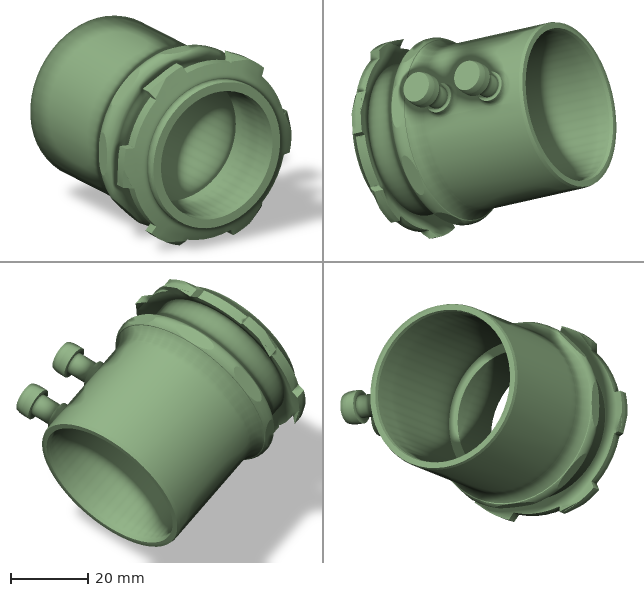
import cadquery as cq
import math


housing_length = 54.8
sleeve_radius = 44.0 / 2
sleeve_bore_radius = 40.0 / 2
neck_radius = 40.0 / 2
neck_bore_radius = 34.8 / 2
end_chamfer_length = 0.95
end_chamfer_depth = 0.25
mouth_chamfer_length = 0.95

sleeve_end_x = 31.25
collar_start_x = 35.6
ridge_step = 0.25
collar_centre_x = 37.55
collar_peak_radius = 24.8
collar_round = 3
neck_fillet = 1.15
shoulder_x = collar_centre_x

flat_count = 8
flat_distance = 24.05

screw_start_x = 9.25
screw_spacing = 15.9
screw_count = 2
screw_positions = [screw_start_x + i * screw_spacing for i in range(screw_count)]
screw_seat_y = sleeve_radius
screw_top_y = 33.85
shank_radius = 6 / 2
head_radius = 8.8 / 2
head_top_radius = 8.0 / 2
head_bottom_y = 29.7
head_round_y = 31.85
boss_radius = 8.0 / 2
boss_top_y = 23.65
boss_fillet = 0.9

nut_bore_radius = neck_radius
nut_land_radius = 40.3 / 2
nut_face_x = 52.3
nut_thickness = 2.8
nut_rim_radius = 24
lug_tip_radius = 26.15
nut_tip_x = 50.6
lug_width = 11.1
lug_count = 6
fold_end_y = 23.75
fold_offset = 1.25
fold_clearance = 1.3


def turned_along_x(profile):
    """Revolve a closed XY profile about the X axis."""
    return profile.close().revolve(360, (0, 0, 0), (1, 0, 0))


def axial_cylinder(radius, length):
    """A solid cylinder along X that starts at X = 0."""
    return cq.Workplane("YZ").circle(radius).extrude(length)


def upright_cylinder(x, radius, bottom_y, top_y):
    """A cylinder that points to +Y, with its axis at x."""
    return cq.Workplane("XZ", origin=(x, bottom_y, 0)).circle(radius).extrude(bottom_y - top_y)


def make_sleeve_with_bosses():
    """Solid sleeve with the filleted screw bosses on it."""
    sleeve = axial_cylinder(sleeve_radius, sleeve_end_x)
    for x in screw_positions:
        sleeve = sleeve.union(upright_cylinder(x, boss_radius, 0, boss_top_y))
    root_box = cq.selectors.BoxSelector(
        (0, sleeve_radius - boss_radius, -sleeve_radius / 2),
        (sleeve_end_x, sleeve_radius + boss_fillet / 2, sleeve_radius / 2),
    )
    boss_roots = sleeve.edges(root_box).edges("not(%CIRCLE or %LINE)")
    return boss_roots.fillet(boss_fillet)


def make_collar_and_neck():
    """Solid of revolution for the whole housing, before the bores and flats."""
    collar_centre_radius = collar_peak_radius - collar_round
    collar_start_offset = collar_centre_x - collar_start_x
    collar_start_radius = collar_centre_radius + math.sqrt(collar_round**2 - collar_start_offset**2)

    flare_length = collar_start_x - sleeve_end_x
    flare_end_radius = collar_start_radius - ridge_step
    flare_rise = flare_end_radius - sleeve_radius
    flare_angle = 2 * math.atan2(flare_rise, flare_length)
    flare_radius = flare_length / math.sin(flare_angle)
    flare_middle = (
        sleeve_end_x + flare_radius * math.sin(flare_angle / 2),
        sleeve_radius + flare_radius * (1 - math.cos(flare_angle / 2)),
    )

    fillet_centre_radius = neck_radius + neck_fillet
    centre_distance = collar_round + neck_fillet
    centre_drop = collar_centre_radius - fillet_centre_radius
    fillet_centre_x = collar_centre_x + math.sqrt(centre_distance**2 - centre_drop**2)
    tangent_angle = math.asin(centre_drop / centre_distance)
    collar_end = (
        collar_centre_x + collar_round * math.cos(tangent_angle),
        collar_centre_radius - collar_round * math.sin(tangent_angle),
    )
    fillet_middle_angle = (math.pi / 2 - tangent_angle) / 2
    fillet_middle = (
        fillet_centre_x - neck_fillet * math.sin(fillet_middle_angle),
        fillet_centre_radius - neck_fillet * math.cos(fillet_middle_angle),
    )
    return turned_along_x(
        cq.Workplane("XY")
        .moveTo(0, 0)
        .lineTo(0, sleeve_radius - end_chamfer_depth)
        .lineTo(end_chamfer_length, sleeve_radius)
        .lineTo(sleeve_end_x, sleeve_radius)
        .threePointArc(flare_middle, (collar_start_x, flare_end_radius))
        .lineTo(collar_start_x, collar_start_radius)
        .threePointArc((collar_centre_x, collar_peak_radius), collar_end)
        .threePointArc(fillet_middle, (fillet_centre_x, neck_radius))
        .lineTo(housing_length - end_chamfer_length, neck_radius)
        .lineTo(housing_length, neck_radius - end_chamfer_depth)
        .lineTo(housing_length, 0)
    )


def cut_flats(body):
    """Cut the eight flats around the collar."""
    flat_depth = 2 * (collar_peak_radius - flat_distance)
    cutter = (
        cq.Workplane("XY")
        .box(2 * collar_round, flat_depth, collar_peak_radius)
        .translate((collar_centre_x, flat_distance + flat_depth / 2, 0))
    )
    for i in range(flat_count):
        body = body.cut(cutter.rotate((0, 0, 0), (1, 0, 0), i * 360 / flat_count))
    return body


def make_bores():
    """Stepped bore with a chamfered mouth."""
    return turned_along_x(
        cq.Workplane("XY")
        .moveTo(0, 0)
        .lineTo(0, sleeve_bore_radius + end_chamfer_depth)
        .lineTo(mouth_chamfer_length, sleeve_bore_radius)
        .lineTo(shoulder_x, sleeve_bore_radius)
        .lineTo(shoulder_x, neck_bore_radius)
        .lineTo(housing_length, neck_bore_radius)
        .lineTo(housing_length, 0)
    )


def make_housing():
    """Sleeve, bosses, collar and neck as one solid, bored through, with blind screw holes."""
    sleeve = make_sleeve_with_bosses().cut(axial_cylinder(sleeve_radius, end_chamfer_length))
    housing = cut_flats(make_collar_and_neck()).union(sleeve).cut(make_bores())
    for x in screw_positions:
        housing = housing.cut(upright_cylinder(x, shank_radius, screw_seat_y, boss_top_y))
    return housing


def make_screw(x):
    """Set screw with a plain shank and a head that rounds in towards its top."""
    round_height = screw_top_y - head_round_y
    round_depth = head_radius - head_top_radius
    round_angle = 2 * math.atan2(round_depth, round_height)
    round_radius = round_height / math.sin(round_angle)
    round_middle = (
        head_radius - round_radius * (1 - math.cos(round_angle / 2)),
        head_round_y + round_radius * math.sin(round_angle / 2),
    )
    profile = (
        cq.Workplane("XY")
        .moveTo(0, screw_seat_y)
        .lineTo(shank_radius, screw_seat_y)
        .lineTo(shank_radius, head_bottom_y)
        .lineTo(head_radius, head_bottom_y)
        .lineTo(head_radius, head_round_y)
        .threePointArc(round_middle, (head_top_radius, screw_top_y))
        .lineTo(0, screw_top_y)
        .close()
    )
    return profile.revolve(360, (0, 0, 0), (0, 1, 0)).translate((x, 0, 0))


def make_dished_disc():
    """Conical ring of constant thickness, out to the lug tips."""
    return turned_along_x(
        cq.Workplane("XY")
        .moveTo(nut_face_x, nut_bore_radius)
        .lineTo(nut_face_x, nut_land_radius)
        .lineTo(nut_tip_x, lug_tip_radius)
        .lineTo(nut_tip_x - nut_thickness, lug_tip_radius)
        .lineTo(nut_face_x - nut_thickness, nut_land_radius)
        .lineTo(nut_face_x - nut_thickness, nut_bore_radius)
    )


def make_lug_fold():
    """Folded corner of the +Y lug: the leaning piece to add and the space in front of it to clear."""
    half_width = lug_width / 2
    corner_y = math.sqrt(lug_tip_radius**2 - half_width**2)
    dish_slope = (nut_face_x - nut_tip_x) / (lug_tip_radius - nut_land_radius)
    tip_back_x = nut_tip_x - nut_thickness
    fold_end_back_x = tip_back_x + dish_slope * (lug_tip_radius - math.hypot(fold_end_y, half_width))

    fold_end = cq.Vector(fold_end_back_x, fold_end_y, half_width)
    to_tip_middle = cq.Vector(tip_back_x, lug_tip_radius, 0) - fold_end
    to_corner = cq.Vector(tip_back_x - fold_offset, corner_y, half_width) - fold_end

    def fold_prism(reach, start, length):
        """Prism along X whose end lies in the plane of the folded back face."""
        base = fold_end + cq.Vector(start, 0, 0)
        points = [base, base + to_tip_middle * reach, base + to_corner * reach]
        outline = cq.Wire.makePolygon(points, close=True)
        return cq.Workplane(cq.Solid.extrudeLinear(outline, [], cq.Vector(length, 0, 0)))

    leaning_piece = fold_prism(1, 0, nut_thickness)
    cleared_space = fold_prism(fold_clearance, nut_thickness, nut_thickness)
    return leaning_piece, cleared_space


def make_locknut():
    """Dished ring trimmed to its rim and lugs, with one corner of each lug folded back."""
    outline = axial_cylinder(nut_rim_radius, nut_face_x)
    lug_strip = cq.Workplane("YZ").rect(2 * lug_tip_radius, lug_width).extrude(nut_face_x)
    for i in range(lug_count // 2):
        outline = outline.union(lug_strip.rotate((0, 0, 0), (1, 0, 0), i * 360 / lug_count))
    nut = make_dished_disc().intersect(outline)

    leaning_piece, cleared_space = make_lug_fold()
    for i in range(lug_count):
        angle = i * 360 / lug_count
        nut = nut.cut(cleared_space.rotate((0, 0, 0), (1, 0, 0), angle))
        nut = nut.union(leaning_piece.rotate((0, 0, 0), (1, 0, 0), angle))
    return nut


housing = make_housing()
locknut = make_locknut()
screws = [make_screw(x) for x in screw_positions]

result = cq.Compound.makeCompound(
    [
        *housing.solids().vals(),
        *locknut.solids().vals(),
        *[screw.val() for screw in screws],
    ]
)